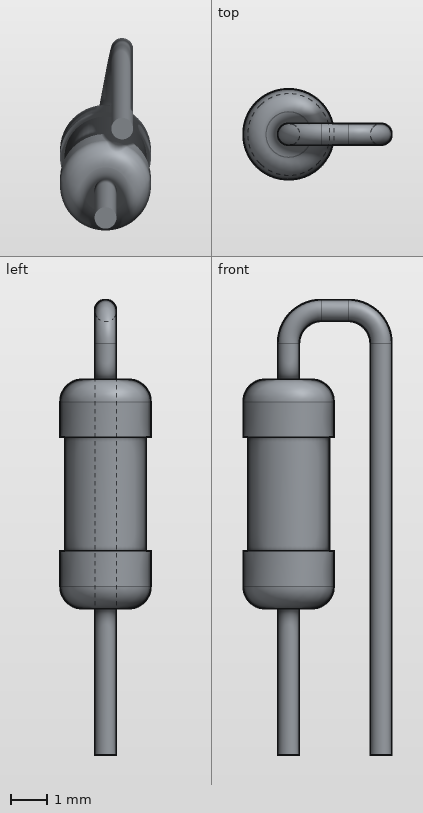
import cadquery as cq

wire_diameter = 0.6
lead_pitch = 2.54
total_height = 12.5
bend_radius = 1.5 * wire_diameter

barrel_diameter = 2.25
cap_diameter = 2.5
body_bottom = 4.01
body_length = 6.3
cap_length = 1.59
cap_rounding = 0.62

wire_top = total_height - wire_diameter / 2
bend_start = wire_top - bend_radius


def make_cap():
    """End cap with its open end at Z = 0 and its rounded end facing up."""
    cap = cq.Workplane("XY").circle(cap_diameter / 2).extrude(cap_length)
    return cap.faces(">Z").edges().fillet(cap_rounding)


def make_body():
    """Barrel with a rounded cap on each end."""
    barrel_length = body_length - 2 * cap_length
    barrel_bottom = body_bottom + cap_length
    barrel_top = barrel_bottom + barrel_length
    barrel = (
        cq.Workplane("XY")
        .workplane(offset=barrel_bottom)
        .circle(barrel_diameter / 2)
        .extrude(barrel_length)
    )
    upper_cap = make_cap().translate((0, 0, barrel_top))
    lower_cap = make_cap().mirror("XY").translate((0, 0, barrel_bottom))
    return barrel.union(upper_cap).union(lower_cap)


def make_wire():
    """Lead through the body, bent over the top and back down beside it."""
    path = (
        cq.Workplane("XZ")
        .moveTo(0, 0)
        .lineTo(0, bend_start)
        .tangentArcPoint((bend_radius, wire_top), relative=False)
        .lineTo(lead_pitch - bend_radius, wire_top)
        .tangentArcPoint((lead_pitch, bend_start), relative=False)
        .lineTo(lead_pitch, 0)
    )
    return cq.Workplane("XY").circle(wire_diameter / 2).sweep(path)


result = make_body().union(make_wire())